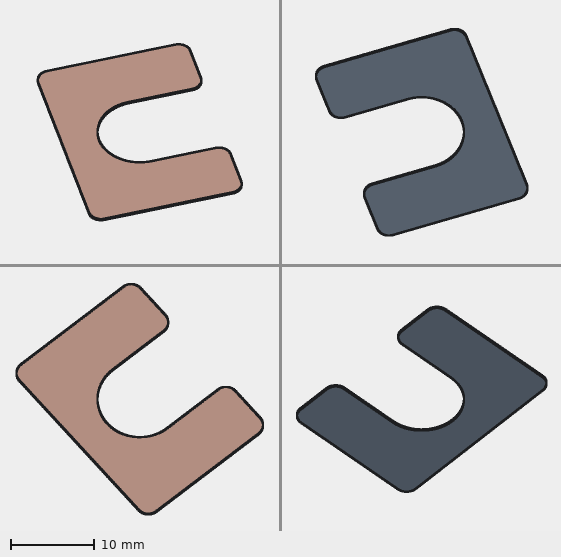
import cadquery as cq

LENGTH = 25.4
WIDTH = 19.05
THICKNESS = 0.25

CORNER_RADIUS = 1.5

SLOT_WIDTH = 10.16
SLOT_DEPTH = 14.6

slot_radius = SLOT_WIDTH / 2
open_edge_y = WIDTH / 2
slot_bottom_y = open_edge_y - SLOT_DEPTH
slot_center_y = slot_bottom_y + slot_radius


def make_plate():
    """Flat rectangular plate resting on Z = 0."""
    return cq.Workplane("XY").box(LENGTH, WIDTH, THICKNESS, centered=(True, True, False))


def make_slot_cutter():
    """U-shaped prism that removes the slot."""
    return (
        cq.Workplane("XY")
        .moveTo(-slot_radius, open_edge_y)
        .lineTo(-slot_radius, slot_center_y)
        .threePointArc((0, slot_bottom_y), (slot_radius, slot_center_y))
        .lineTo(slot_radius, open_edge_y)
        .close()
        .extrude(THICKNESS)
    )


def round_corners(plate):
    """Round the outer corners and both corners at the slot mouth."""
    closed_edge_corners = plate.faces("<Y").edges("|Z")
    open_edge_corners = plate.faces(">Y").edges("|Z")
    return closed_edge_corners.add(open_edge_corners).fillet(CORNER_RADIUS)


result = round_corners(make_plate().cut(make_slot_cutter()))